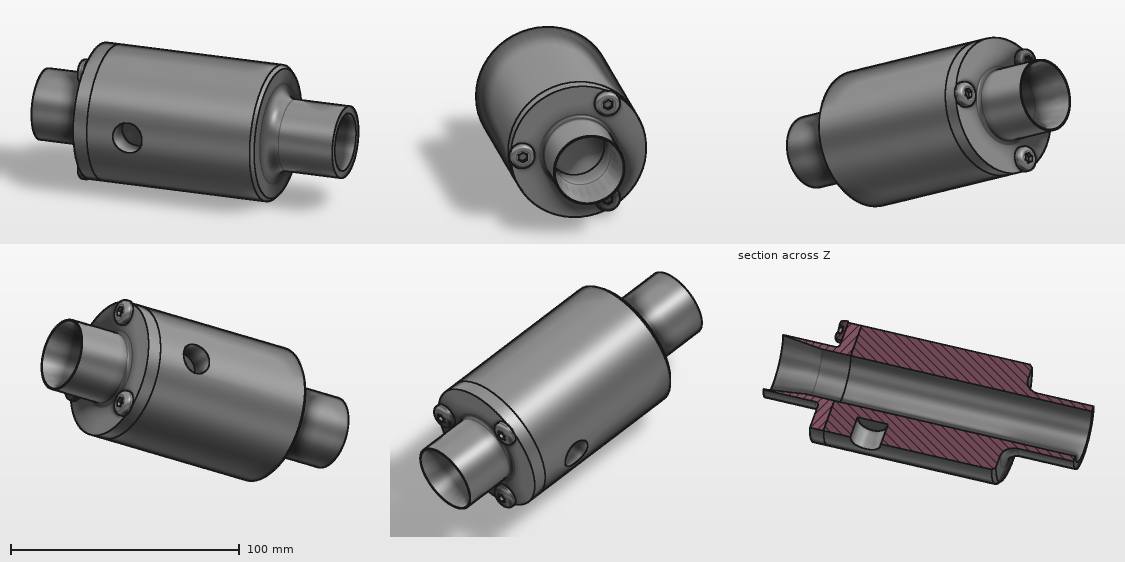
import cadquery as cq
import math

total_length = 141.3
body_diameter = 60.4
bore_diameter = 25.5

inlet_tube_diameter = 31.7
inlet_tube_length = 25.3
inlet_mouth_diameter = 30.5
inlet_taper_length = 18.4
inlet_fillet = 1.5
flange_thickness = 6.4

outlet_tube_diameter = 31.8
outlet_tube_length = 31.7
outlet_fillet = 6.2
housing_chamfer = 1.5
port_diameter = 13.7
port_depth = 11.3
port_offset = 19.1

screw_count = 3
screw_circle_radius = 25.3
head_diameter = 11.2
head_flat_diameter = 6.4
head_height = 3.3
head_rim_height = 1.3
socket_across_flats = 4.0
socket_depth = 2.0

flange_face_x = inlet_tube_length
joint_x = flange_face_x + flange_thickness
shoulder_x = total_length - outlet_tube_length
body_radius = body_diameter / 2
bore_radius = bore_diameter / 2


def make_flanged_inlet():
    """Revolve the inlet tube, its root fillet, the flange and the tapered bore."""
    tube_radius = inlet_tube_diameter / 2
    return (
        cq.Workplane("XY")
        .moveTo(0, inlet_mouth_diameter / 2)
        .lineTo(0, tube_radius)
        .lineTo(flange_face_x - inlet_fillet, tube_radius)
        .tangentArcPoint((flange_face_x, tube_radius + inlet_fillet), relative=False)
        .lineTo(flange_face_x, body_radius)
        .lineTo(joint_x, body_radius)
        .lineTo(joint_x, bore_radius)
        .lineTo(inlet_taper_length, bore_radius)
        .close()
        .revolve(360, (0, 0, 0), (1, 0, 0))
    )


def make_housing():
    """Revolve the housing and outlet tube, then sink the blind side port."""
    tube_radius = outlet_tube_diameter / 2
    fillet_end_x = shoulder_x + outlet_fillet
    fillet_top = tube_radius + outlet_fillet
    fillet_reach = outlet_fillet * math.sqrt(0.5)
    fillet_middle = (fillet_end_x - fillet_reach, fillet_top - fillet_reach)
    body = (
        cq.Workplane("XY")
        .moveTo(joint_x, bore_radius)
        .lineTo(joint_x, body_radius)
        .lineTo(shoulder_x - housing_chamfer, body_radius)
        .lineTo(shoulder_x, body_radius - housing_chamfer)
        .lineTo(shoulder_x, fillet_top)
        .threePointArc(fillet_middle, (fillet_end_x, tube_radius))
        .lineTo(total_length, tube_radius)
        .lineTo(total_length, bore_radius)
        .close()
        .revolve(360, (0, 0, 0), (1, 0, 0))
    )
    port = (
        cq.Workplane("XZ", origin=(joint_x + port_offset, -body_radius, 0))
        .circle(port_diameter / 2)
        .extrude(-port_depth)
    )
    return body.cut(port)


def make_screw(angle):
    """Make a domed screw head on the flange face, at an angle from +Y about X."""
    head_radius = head_diameter / 2
    rim_x = flange_face_x - head_rim_height
    top_x = flange_face_x - head_height
    head = (
        cq.Workplane("XY")
        .moveTo(flange_face_x, 0)
        .lineTo(flange_face_x, head_radius)
        .lineTo(rim_x, head_radius)
        .tangentArcPoint((top_x, head_flat_diameter / 2), relative=False)
        .lineTo(top_x, 0)
        .close()
        .revolve(360, (0, 0, 0), (1, 0, 0))
    )
    socket_corner_diameter = socket_across_flats / math.cos(math.pi / 6)
    socket_plane = cq.Plane(origin=(top_x, 0, 0), xDir=(0, 0, 1), normal=(1, 0, 0))
    socket = cq.Workplane(socket_plane).polygon(6, socket_corner_diameter).extrude(socket_depth)
    across = screw_circle_radius * math.cos(angle)
    up = screw_circle_radius * math.sin(angle)
    return head.cut(socket).translate((0, across, up))


flanged_inlet = make_flanged_inlet()
housing = make_housing()
screws = [make_screw(2 * math.pi * index / screw_count) for index in range(screw_count)]

result = cq.Compound.makeCompound(
    [flanged_inlet.val(), housing.val(), *[screw.val() for screw in screws]]
)